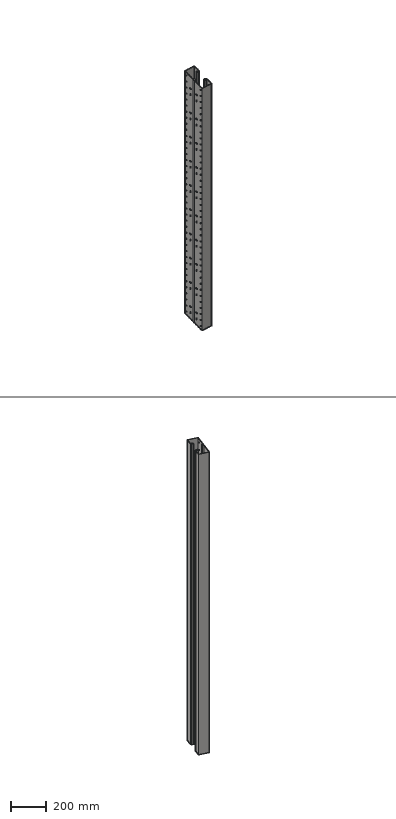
import cadquery as cq

length = 2000.0
width = 170.0
depth = 68.0
wall = 2.8
corner_radius = 2.0

flange_reach = 48.0
hook_start = 42.0
hook_end = 55.0
hook_step = 5.0
hook_drop = 19.0

rib_width = 15.0
rib_height = 8.0

edge_hole_diameter = 5.0
edge_hole_inset = 15.0
edge_hole_pitch = 50.0

slot_offset = 30.0
slot_pitch = 200.0
slot_width = 5.0
cross_slot_length = 15.0
long_slot_length = 12.0
cross_slot_first = slot_pitch / 2
long_slot_first = slot_pitch / 4

front = -depth / 2
back = depth / 2
side = width / 2
floor_top = front + wall


def half_section():
    """Right half of the section: outer face, flange, hook, inner face and rib."""
    hook_top = back - hook_step
    hook_tip = back - hook_drop
    rib_top = floor_top + rib_height
    return [
        (0, front),
        (side, front),
        (side, back),
        (side - flange_reach, back),
        (side - flange_reach, hook_top),
        (side - hook_end, hook_top),
        (side - hook_end, hook_tip),
        (side - hook_end + wall, hook_tip),
        (side - hook_end + wall, hook_top - wall),
        (side - hook_start - wall, hook_top - wall),
        (side - hook_start - wall, hook_tip),
        (side - hook_start, hook_tip),
        (side - hook_start, back - wall),
        (side - wall, back - wall),
        (side - wall, floor_top),
        (rib_width / 2, floor_top),
        (rib_width / 2, rib_top),
        (0, rib_top),
    ]


def channel():
    half = cq.Workplane("XY").polyline(half_section()).close().extrude(length)
    body = half.union(half.mirror("YZ"))
    return body.faces("<Y").edges("|Z").fillet(corner_radius)


def paired_rows(first, pitch, offset):
    """Centres of two mirrored rows spaced evenly along the channel."""
    count = round(length / pitch)
    heights = [first + i * pitch for i in range(count)]
    return [(x, z) for z in heights for x in (-offset, offset)]


def floor_at(centres):
    return cq.Workplane("XZ", origin=(0, floor_top, 0)).pushPoints(centres)


def edge_holes():
    centres = paired_rows(edge_hole_pitch / 2, edge_hole_pitch, side - edge_hole_inset)
    return floor_at(centres).circle(edge_hole_diameter / 2).extrude(wall)


def cross_slots():
    centres = paired_rows(cross_slot_first, slot_pitch, slot_offset)
    return floor_at(centres).slot2D(cross_slot_length, slot_width).extrude(wall)


def long_slots():
    centres = paired_rows(long_slot_first, slot_pitch, slot_offset)
    return floor_at(centres).slot2D(long_slot_length, slot_width, 90).extrude(wall)


result = channel().cut(edge_holes()).cut(cross_slots()).cut(long_slots())